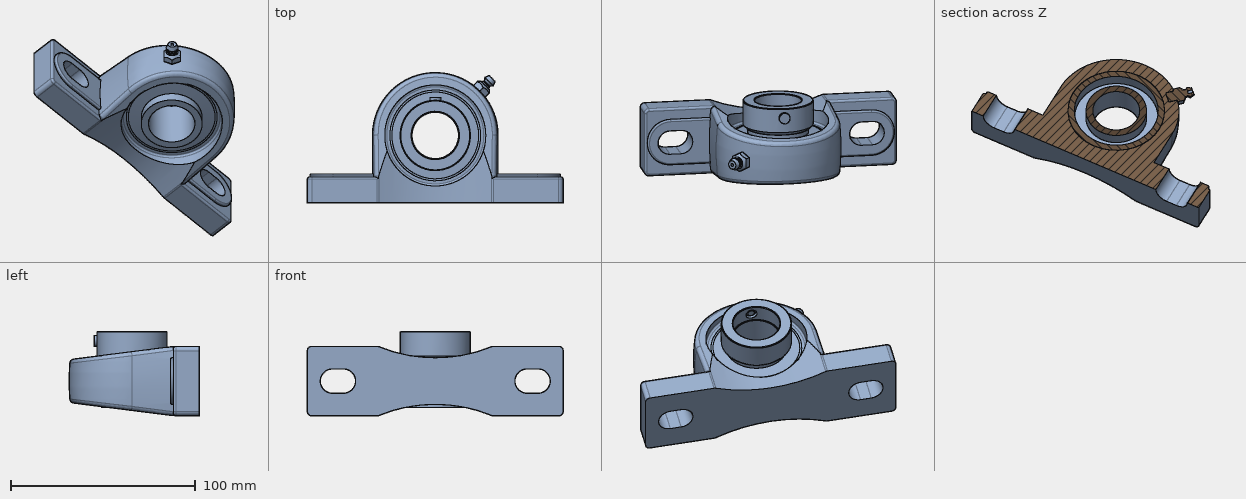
import cadquery as cq
import math


base_length = 138.5
base_half_width = 18.8
base_thickness = 14.0
base_corner_radius = 2.5
base_rim_radius = 1.2
slot_spacing = 105.3
slot_length = 19.0
slot_width = 13.0
pad_height = 1.7
pad_width = 25.3
pad_rim_radius = 1.0
pad_end_x = base_length / 2 - 1.4

axis_height = 36.4
housing_radius = 34.1
crown_drop = 1.4
foot_height = 12.5
foot_half_width = 18.7
taper_start_height = 14.5
crest_half_width = 11.6
housing_edge_radius = 2.5
waist_half_width = 12.6
waist_end_x = 30.9
waist_blend_radius = 2.5
housing_top = axis_height + housing_radius

seat_diameter = 52.0
outer_ring_half_width = 8.5
ring_face_radius = math.sqrt((seat_diameter / 2) ** 2 - outer_ring_half_width**2)
mouth_diameter = 54.7
mouth_fillet_radius = 1.1
seal_diameter = 47.0
land_diameter = 45.2
seal_thickness = 2.0
seal_rise = 0.4
inner_ring_diameter = 33.0
inner_ring_bore = 25.0
inner_ring_bottom = -14.4
inner_ring_top = 17.2
inner_ring_chamfer = 0.4

collar_diameter = 38.1
collar_bore = 25.3
collar_bottom_diameter = 34.1
collar_shoulder = 13.6
collar_top = 26.9
collar_chamfer = 0.4
collar_bottom = collar_shoulder - (collar_diameter - collar_bottom_diameter) / 2
screw_diameter = 6.0
screw_tip_diameter = 3.6
screw_z = 21.7
screw_head_radius = 20.5
screw_tip_radius = 13.3

nipple_angle = 45.0
shank_diameter = 6.0
shank_start = 29.1
hex_flats = 9.0
hex_start = 33.7
hex_end = 38.2
hex_top_diameter = 6.5
hex_bevel_start = 36.5
neck_diameter = 5.0
neck_end = 39.0
throat_diameter = 4.2
head_start = 39.6
head_widest = 41.1
head_diameter = 6.5
nipple_tip = 43.5
nipple_tip_diameter = 4.7
nipple_hole_diameter = 1.5
nipple_hole_depth = 2.8


def bearing_plane():
    """Plane holding the bearing axis: local x is X and local y is Z."""
    return cq.Workplane("XZ", origin=(0, axis_height, 0))


def turned(profile):
    """Solid of revolution about the bearing axis from a list of (radius, z) points."""
    return bearing_plane().polyline(profile).close().revolve(360, (0, 0), (0, 1))


def base_plane(height):
    """Plane parallel to the mounting face: local x is X and local y is Z."""
    return cq.Workplane("XZ", origin=(0, height, 0))


def make_base():
    base = (
        base_plane(0)
        .rect(base_length, 2 * base_half_width)
        .extrude(-base_thickness)
        .edges("|Y")
        .fillet(base_corner_radius)
        .faces(">Y")
        .edges()
        .fillet(base_rim_radius)
    )
    pads = (
        base_plane(base_thickness)
        .slot2D(2 * pad_end_x, pad_width)
        .extrude(-pad_height)
        .faces(">Y")
        .edges()
        .fillet(pad_rim_radius)
    )
    return base.union(pads)


def slot_tools():
    return (
        base_plane(0)
        .pushPoints([(-slot_spacing / 2, 0), (slot_spacing / 2, 0)])
        .slot2D(slot_length, slot_width)
        .extrude(-(base_thickness + pad_height))
    )


def make_shell():
    """Arch with crowned outer walls and rounded rims, narrowing from the base to the crest."""
    edge_radius = housing_radius - crown_drop
    half = base_half_width
    dome = (
        bearing_plane()
        .moveTo(0, -half)
        .lineTo(edge_radius, -half)
        .threePointArc((housing_radius, 0), (edge_radius, half))
        .lineTo(0, half)
        .close()
        .revolve(360, (0, 0), (0, 1))
    )
    legs = (
        bearing_plane()
        .moveTo(-edge_radius, -half)
        .lineTo(edge_radius, -half)
        .threePointArc((housing_radius, 0), (edge_radius, half))
        .lineTo(-edge_radius, half)
        .threePointArc((-housing_radius, 0), (-edge_radius, -half))
        .close()
        .extrude(axis_height - foot_height)
    )
    wedge = (
        cq.Workplane("YZ")
        .polyline([
            (foot_height, -foot_half_width),
            (taper_start_height, -foot_half_width),
            (housing_top, -crest_half_width),
            (housing_top, crest_half_width),
            (taper_start_height, foot_half_width),
            (foot_height, foot_half_width),
        ])
        .close()
        .extrude(base_length / 2, both=True)
    )
    shell = dome.union(legs).intersect(wedge)
    rim_edges = shell.edges("(not %CIRCLE) and (not |X)")
    return rim_edges.fillet(housing_edge_radius)


def waist_tool(side):
    """Hollow between the feet: a wide arc blended into the flat flank on side +1 or -1."""
    rise = base_half_width - waist_half_width
    arc_radius = (waist_end_x**2 + rise**2) / (2 * rise)
    arc_center_z = waist_half_width + arc_radius
    blend_center_z = base_half_width - waist_blend_radius
    center_distance = arc_radius + waist_blend_radius
    blend_x = math.sqrt(center_distance**2 - (arc_center_z - blend_center_z) ** 2)
    tangent_x = blend_x * arc_radius / center_distance
    tangent_z = arc_center_z - (arc_center_z - blend_center_z) * arc_radius / center_distance
    half_turn = math.atan2(blend_x, arc_center_z - blend_center_z) / 2
    mid_x = blend_x - waist_blend_radius * math.sin(half_turn)
    mid_z = blend_center_z + waist_blend_radius * math.cos(half_turn)
    outside_z = 2 * base_half_width
    return (
        cq.Workplane("XZ")
        .moveTo(-blend_x, side * base_half_width)
        .threePointArc((-mid_x, side * mid_z), (-tangent_x, side * tangent_z))
        .threePointArc((0, side * waist_half_width), (tangent_x, side * tangent_z))
        .threePointArc((mid_x, side * mid_z), (blend_x, side * base_half_width))
        .lineTo(blend_x, side * outside_z)
        .lineTo(-blend_x, side * outside_z)
        .close()
        .extrude(-housing_top)
    )


def bore_tool():
    """Spherical seat between two wider mouths, each with a filleted flat floor."""
    seat_radius = seat_diameter / 2
    mouth_radius = mouth_diameter / 2
    floor_z = outer_ring_half_width
    fillet = mouth_fillet_radius
    fillet_mid = fillet * (1 - math.sqrt(0.5))
    end = base_half_width
    return (
        bearing_plane()
        .moveTo(0, -end)
        .lineTo(mouth_radius, -end)
        .lineTo(mouth_radius, -floor_z - fillet)
        .threePointArc(
            (mouth_radius - fillet_mid, -floor_z - fillet_mid),
            (mouth_radius - fillet, -floor_z),
        )
        .lineTo(ring_face_radius, -floor_z)
        .threePointArc((seat_radius, 0), (ring_face_radius, floor_z))
        .lineTo(mouth_radius - fillet, floor_z)
        .threePointArc(
            (mouth_radius - fillet_mid, floor_z + fillet_mid),
            (mouth_radius, floor_z + fillet),
        )
        .lineTo(mouth_radius, end)
        .lineTo(0, end)
        .close()
        .revolve(360, (0, 0), (0, 1))
    )


def make_housing(nipple):
    housing = make_base().union(make_shell())
    for side in (1, -1):
        housing = housing.cut(waist_tool(side))
    return housing.cut(slot_tools()).cut(bore_tool()).cut(nipple)


def make_outer_ring():
    """Ring with a spherical outside and a recess for a seal at each end."""
    half = outer_ring_half_width
    seat_radius = seat_diameter / 2
    recess_z = half - seal_thickness
    return (
        bearing_plane()
        .moveTo(seal_diameter / 2, -half)
        .lineTo(ring_face_radius, -half)
        .threePointArc((seat_radius, 0), (ring_face_radius, half))
        .lineTo(seal_diameter / 2, half)
        .lineTo(seal_diameter / 2, recess_z)
        .lineTo(land_diameter / 2, recess_z)
        .lineTo(land_diameter / 2, -recess_z)
        .lineTo(seal_diameter / 2, -recess_z)
        .close()
        .revolve(360, (0, 0), (0, 1))
    )


def make_inner_ring():
    bore_radius = inner_ring_bore / 2
    outer_radius = inner_ring_diameter / 2
    return turned([
        (bore_radius, inner_ring_bottom),
        (outer_radius, inner_ring_bottom),
        (outer_radius, inner_ring_top),
        (bore_radius + inner_ring_chamfer, inner_ring_top),
        (bore_radius, inner_ring_top - inner_ring_chamfer),
    ])


def make_seal(side):
    """Washer flush with the outer ring on side +1 or -1, rising slightly towards the inner ring."""
    inner_radius = inner_ring_diameter / 2
    outer_radius = seal_diameter / 2
    face_z = outer_ring_half_width
    back_z = face_z - seal_thickness
    return turned([
        (inner_radius, side * back_z),
        (outer_radius, side * back_z),
        (outer_radius, side * face_z),
        (inner_radius, side * (face_z + seal_rise)),
    ])


def make_set_screw():
    """Screw pointing at the bearing axis, with a bevelled tip."""
    bevel = (screw_diameter - screw_tip_diameter) / 2
    return (
        cq.Workplane("XZ", origin=(0, axis_height + screw_tip_radius, screw_z))
        .circle(screw_diameter / 2)
        .extrude(screw_tip_radius - screw_head_radius)
        .faces("<Y")
        .chamfer(bevel)
    )


def make_collar():
    """Locking collar whose recess fits over the end of the inner ring."""
    bore_radius = collar_bore / 2
    outer_radius = collar_diameter / 2
    recess_radius = inner_ring_diameter / 2
    collar = turned([
        (recess_radius, collar_bottom),
        (collar_bottom_diameter / 2, collar_bottom),
        (outer_radius, collar_shoulder),
        (outer_radius, collar_top - collar_chamfer),
        (outer_radius - collar_chamfer, collar_top),
        (bore_radius + collar_chamfer, collar_top),
        (bore_radius, collar_top - collar_chamfer),
        (bore_radius, inner_ring_top),
        (recess_radius, inner_ring_top),
    ])
    screw_hole = (
        cq.Workplane("XZ", origin=(0, axis_height, screw_z))
        .circle(screw_diameter / 2)
        .extrude(-collar_diameter)
    )
    return collar.cut(screw_hole)


def make_nipple():
    """Grease nipple: a bevelled hexagon on a turned stem, square to the crown of the arch."""
    direction = math.radians(nipple_angle)
    outward = cq.Vector(math.cos(direction), math.sin(direction), 0)
    axis_plane = cq.Plane((0, axis_height, 0), (0, 0, 1), outward)
    across = cq.Vector(0, 0, 1).cross(outward)
    profile_plane = cq.Plane((0, axis_height, 0), (0, 0, 1), across)

    hex_corner_diameter = hex_flats / math.cos(math.radians(30))
    hexagon = (
        cq.Workplane(axis_plane)
        .workplane(offset=hex_start)
        .polygon(6, hex_corner_diameter)
        .extrude(hex_end - hex_start)
    )
    envelope = (
        cq.Workplane(profile_plane)
        .polyline([
            (0, hex_start),
            (hex_corner_diameter / 2, hex_start),
            (hex_corner_diameter / 2, hex_bevel_start),
            (hex_top_diameter / 2, hex_end),
            (0, hex_end),
        ])
        .close()
        .revolve(360, (0, 0), (0, 1))
    )
    stem = (
        cq.Workplane(profile_plane)
        .polyline([
            (0, shank_start),
            (shank_diameter / 2, shank_start),
            (shank_diameter / 2, hex_start),
            (neck_diameter / 2, hex_start),
            (neck_diameter / 2, neck_end),
            (throat_diameter / 2, head_start),
            (head_diameter / 2, head_widest),
            (nipple_tip_diameter / 2, nipple_tip),
            (0, nipple_tip),
        ])
        .close()
        .revolve(360, (0, 0), (0, 1))
    )
    hole = (
        cq.Workplane(axis_plane)
        .workplane(offset=nipple_tip - nipple_hole_depth)
        .circle(nipple_hole_diameter / 2)
        .extrude(nipple_hole_depth)
    )
    return hexagon.intersect(envelope).union(stem).cut(hole)


nipple = make_nipple()
housing = make_housing(nipple)
outer_ring = make_outer_ring()
inner_ring = make_inner_ring()
seals = [make_seal(side) for side in (1, -1)]
collar = make_collar()
set_screw = make_set_screw()

result = cq.Compound.makeCompound([
    housing.val(),
    outer_ring.val(),
    inner_ring.val(),
    *[seal.val() for seal in seals],
    collar.val(),
    set_screw.val(),
    nipple.val(),
])